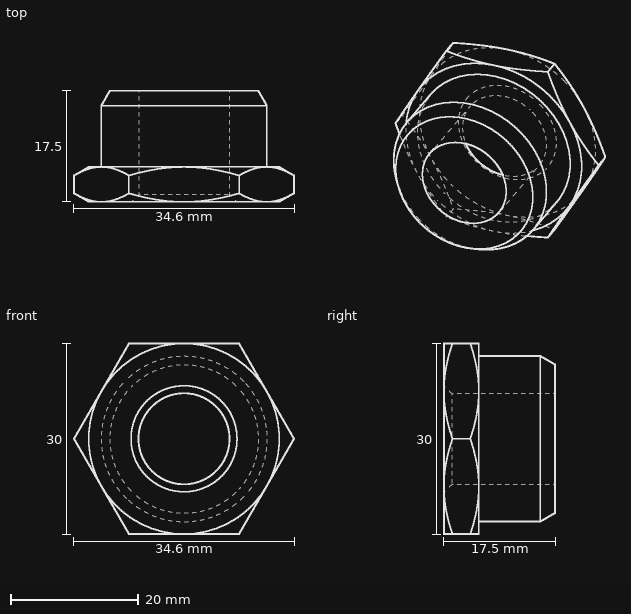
import cadquery as cq
import math

hexagon_sides = 6
across_flats = 30.0
head_thickness = 5.5
total_length = 17.5
shank_diameter = 26.1
shank_chamfer_length = 2.35
bore_diameter = 14.3
countersink_diameter = 16.7
chamfer_angle = math.radians(30)
countersink_half_angle = math.radians(45)

across_corners = across_flats / math.cos(math.pi / hexagon_sides)
corner_chamfer_width = (across_corners - across_flats) / 2
corner_chamfer_depth = corner_chamfer_width * math.tan(chamfer_angle)
shank_radius = shank_diameter / 2
shank_tip_radius = shank_radius - shank_chamfer_length * math.tan(chamfer_angle)
bore_radius = bore_diameter / 2
countersink_radius = countersink_diameter / 2
countersink_depth = (countersink_radius - bore_radius) / math.tan(countersink_half_angle)


def revolve_about_y(profile):
    """Turn a closed (radius, Y) profile about the Y axis."""
    return cq.Workplane("XY").polyline(profile).close().revolve(360, (0, 0, 0), (0, 1, 0))


def make_head():
    """Hexagon with corners on X, its corners bevelled on both faces."""
    hexagon = (
        cq.Workplane("XZ")
        .polygon(hexagon_sides, across_corners)
        .extrude(-head_thickness)
    )
    flat_radius = across_flats / 2
    corner_radius = across_corners / 2
    bevel_envelope = revolve_about_y([
        (0, 0),
        (flat_radius, 0),
        (corner_radius, corner_chamfer_depth),
        (corner_radius, head_thickness - corner_chamfer_depth),
        (flat_radius, head_thickness),
        (0, head_thickness),
    ])
    return hexagon.intersect(bevel_envelope)


def make_shank():
    """Round shank with a tapered lead-in at its free end."""
    return revolve_about_y([
        (0, 0),
        (shank_radius, 0),
        (shank_radius, total_length - shank_chamfer_length),
        (shank_tip_radius, total_length),
        (0, total_length),
    ])


def make_bore():
    """Through bore, countersunk at the head face."""
    return revolve_about_y([
        (0, 0),
        (countersink_radius, 0),
        (bore_radius, countersink_depth),
        (bore_radius, total_length),
        (0, total_length),
    ])


result = make_head().union(make_shank()).cut(make_bore())